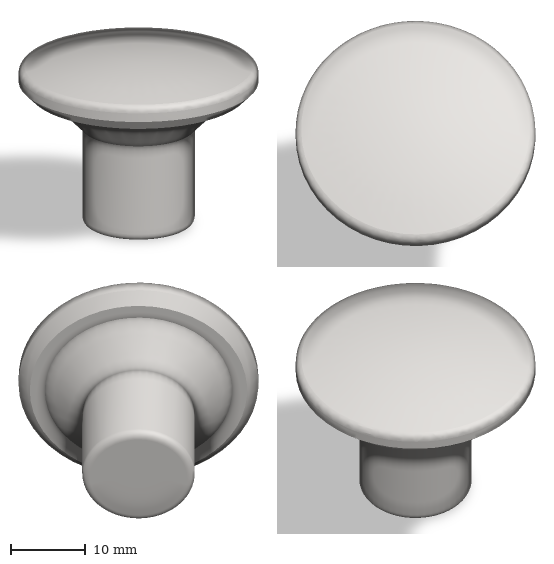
import cadquery as cq
import math

head_diameter = 32.0
stem_diameter = 15.0
total_height = 24.0
stem_height = 13.5
neck_flare = 5.0
head_chamfer = 1.5
dome_radius = 65.0
edge_radius = 1.0

head_radius = head_diameter / 2
stem_radius = stem_diameter / 2
neck_radius = stem_radius + neck_flare
head_base = stem_height + neck_flare
rim_bottom = head_base + head_chamfer
dome_center = total_height - dome_radius


def dome_height(radius):
    """Height of the crown surface at a distance from the axis."""
    return dome_center + math.sqrt(dome_radius**2 - radius**2)


def knob_body():
    """Revolved half-section of the stem, flared neck and domed head."""
    half_way = head_radius / 2
    return (
        cq.Workplane("XZ")
        .moveTo(0, 0)
        .lineTo(stem_radius, 0)
        .lineTo(stem_radius, stem_height)
        .lineTo(neck_radius, head_base)
        .lineTo(head_radius - head_chamfer, head_base)
        .lineTo(head_radius, rim_bottom)
        .lineTo(head_radius, dome_height(head_radius))
        .threePointArc((half_way, dome_height(half_way)), (0, total_height))
        .close()
        .revolve(360, (0, 0, 0), (0, 1, 0))
    )


def rounded_edges(body):
    """Round the foot of the stem and the rim where the crown meets the side."""
    body = body.faces("<Z").edges().fillet(edge_radius)
    rim = cq.selectors.BoxSelector(
        (-head_diameter, -head_diameter, rim_bottom + edge_radius / 2),
        (head_diameter, head_diameter, total_height - edge_radius / 2),
    )
    return body.edges(rim).fillet(edge_radius)


result = rounded_edges(knob_body())